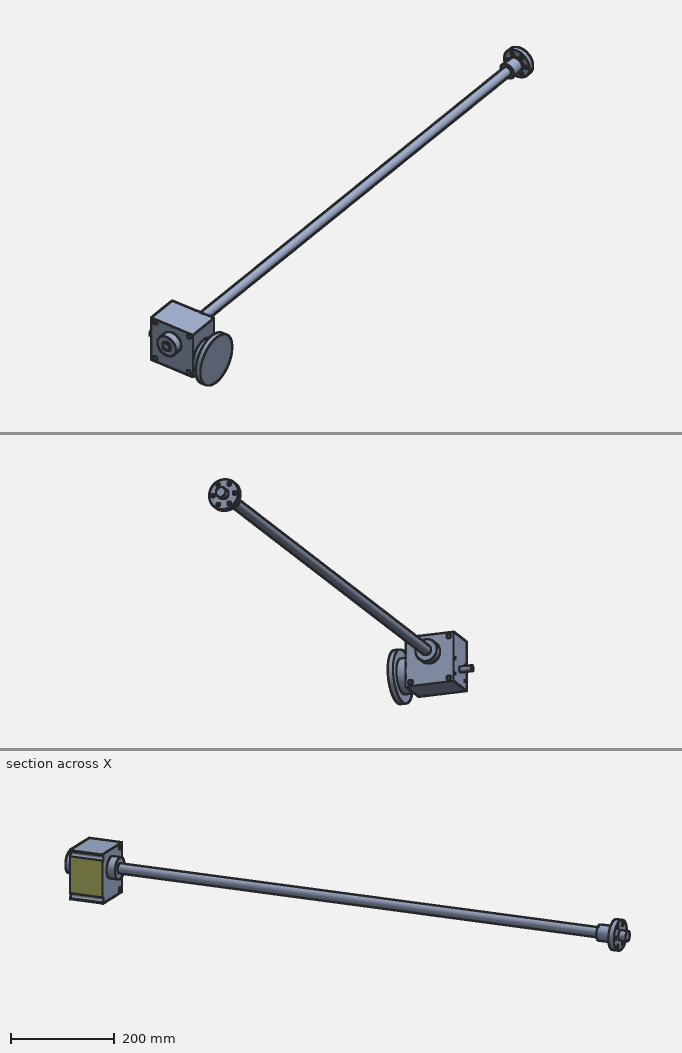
import cadquery as cq
import math


housing_side = 100.0
housing_depth = 70.0
housing_top = 37.0
hub_diameter = 44.0
hub_span = 105.0
corner_hole_diameter = 9.0
corner_hole_spacing_x = 79.0
corner_hole_spacing_z = 84.0
face_hole_diameter = 4.1
face_hole_depth = 12.0
face_hole_spacing_y = 52.0
face_hole_spacing_z = 31.0

worm_drop = 30.0
worm_shaft_diameter = 12.0
worm_shaft_projection = 25.0
center_hole_diameter = 4.1
center_hole_depth = 10.1

motor_neck_diameter = housing_depth
motor_neck_length = 19.0
motor_flange_diameter = 105.0
motor_flange_thickness = 11.3

screw_length = 1185.0
screw_diameter = 20.0
screw_tip_diameter = 17.0
screw_tip_length = 2.0

nut_sleeve_diameter = 32.0
nut_sleeve_length = 32.0
nut_groove_diameter = 31.0
nut_groove_width = 4.0
nut_flange_diameter = 60.0
nut_flange_thickness = 12.0
nut_end_distance = 15.0
nut_hole_diameter = 7.0
nut_hole_circle = 45.0
nut_hole_count = 6

housing_left = -housing_side / 2
housing_right = housing_side / 2
housing_center_z = housing_top - housing_side / 2
worm_z = -worm_drop
hub_face_y = hub_span / 2
screw_start_y = -hub_face_y - screw_tip_length
nut_flange_end_y = screw_start_y + screw_length - nut_end_distance
nut_flange_start_y = nut_flange_end_y - nut_flange_thickness
nut_start_y = nut_flange_start_y - nut_sleeve_length


def cylinder_along_x(diameter, x_start, length, y, z):
    """Cylinder from x_start toward +X around the point (y, z)."""
    return cq.Workplane("YZ", origin=(x_start, y, z)).circle(diameter / 2).extrude(length)


def cylinder_along_y(diameter, y_start, length, x=0, z=0):
    """Cylinder from y_start toward +Y around the point (x, z)."""
    return cq.Workplane("XZ", origin=(x, y_start, z)).circle(diameter / 2).extrude(-length)


def make_housing():
    block = cq.Workplane("XY").box(housing_side, housing_depth, housing_side)
    body = block.translate((0, 0, housing_center_z))
    body = body.union(cylinder_along_y(hub_diameter, -hub_face_y, hub_span))
    body = body.cut(cylinder_along_y(screw_diameter, -hub_face_y, hub_span))
    for side_x in (-1, 1):
        for side_z in (-1, 1):
            hole_x = side_x * corner_hole_spacing_x / 2
            hole_z = housing_center_z + side_z * corner_hole_spacing_z / 2
            body = body.cut(
                cylinder_along_y(corner_hole_diameter, -housing_depth / 2, housing_depth, hole_x, hole_z)
            )
    for side_y in (-1, 1):
        for side_z in (-1, 1):
            hole_y = side_y * face_hole_spacing_y / 2
            hole_z = worm_z + side_z * face_hole_spacing_z / 2
            body = body.cut(
                cylinder_along_x(face_hole_diameter, housing_left, face_hole_depth, hole_y, hole_z)
            )
    return body


def make_worm_shaft():
    start_x = housing_left - worm_shaft_projection
    shaft = cylinder_along_x(worm_shaft_diameter, start_x, worm_shaft_projection, 0, worm_z)
    return shaft.cut(cylinder_along_x(center_hole_diameter, start_x, center_hole_depth, 0, worm_z))


def make_motor_flange():
    neck = cylinder_along_x(motor_neck_diameter, housing_right, motor_neck_length, 0, worm_z)
    disc_x = housing_right + motor_neck_length
    return neck.union(cylinder_along_x(motor_flange_diameter, disc_x, motor_flange_thickness, 0, worm_z))


def make_screw():
    tip = cylinder_along_y(screw_tip_diameter, screw_start_y, screw_tip_length)
    return tip.union(cylinder_along_y(screw_diameter, -hub_face_y, screw_length - screw_tip_length))


def make_nut():
    groove_start_y = nut_flange_start_y - nut_groove_width
    body = cylinder_along_y(nut_sleeve_diameter, nut_start_y, groove_start_y - nut_start_y)
    body = body.union(cylinder_along_y(nut_groove_diameter, groove_start_y, nut_groove_width))
    body = body.union(cylinder_along_y(nut_flange_diameter, nut_flange_start_y, nut_flange_thickness))
    body = body.cut(cylinder_along_y(screw_diameter, nut_start_y, nut_flange_end_y - nut_start_y))
    for index in range(nut_hole_count):
        angle = 2 * math.pi * index / nut_hole_count
        hole_x = nut_hole_circle / 2 * math.cos(angle)
        hole_z = nut_hole_circle / 2 * math.sin(angle)
        body = body.cut(
            cylinder_along_y(nut_hole_diameter, nut_flange_start_y, nut_flange_thickness, hole_x, hole_z)
        )
    return body


housing = make_housing()
worm_shaft = make_worm_shaft()
motor_flange = make_motor_flange()
screw = make_screw()
nut = make_nut()

result = cq.Compound.makeCompound(
    [housing.val(), worm_shaft.val(), motor_flange.val(), screw.val(), nut.val()]
)